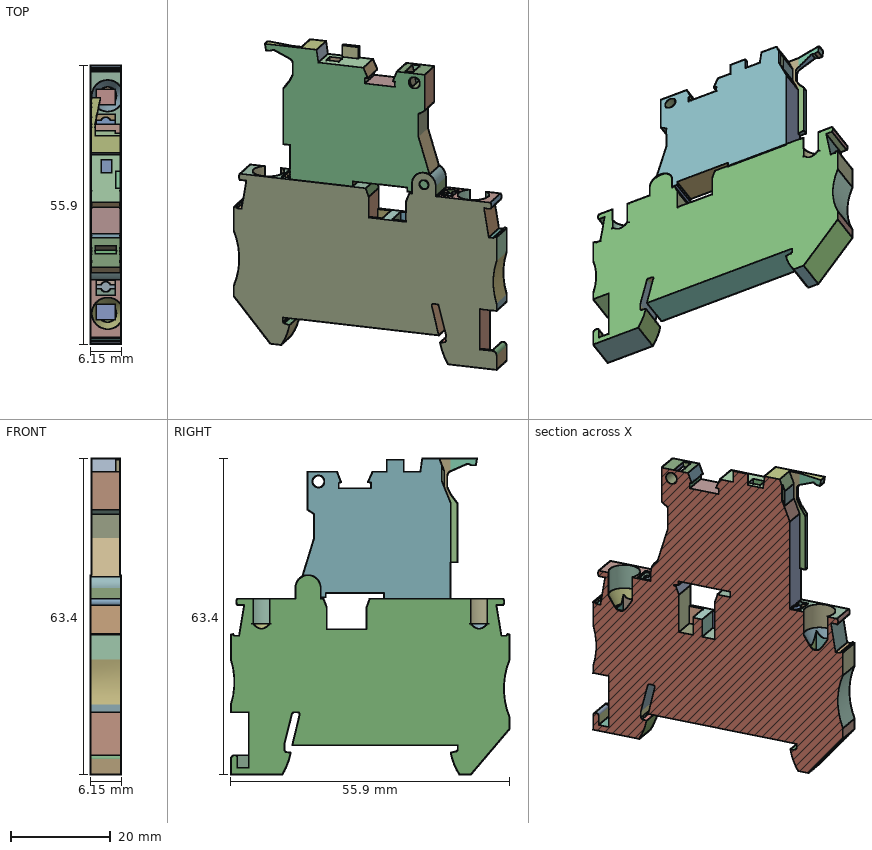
import cadquery as cq


housing_width = 6.15
lever_width = 5.8
side_gap = (housing_width - lever_width) / 2
half_length = 27.95
overall_height = 63.4

housing_top = 35.3
foot_top = 5.9
rail_lip = 4.45

lip_edge = 26.6
lip_nose = 26.9
lip_bottom = 34.0
lip_middle = (housing_top + lip_bottom) / 2
neck_top = 25.3
neck_bottom = 26.3
shoulder = 27.9
shoulder_edge = 28.1
shoulder_ridge_y = 27.5
shoulder_ridge = 28.2
shoulder_groove_y = 27.25

hollow_top = 23.1
spring_slot_top = 12.5
spring_slot_inner = -14.1
spring_slot_outer = -15.6
spring_slot_fillet = 0.4
release_top = spring_slot_top
release_floor = 3.9
release_wall = -24.4
release_bar_radius = 0.8
release_bar_y = release_bar_radius - half_length
release_bar_inner_radius = 0.5
release_pocket_depth = 2.55

window_floor = 29.15
window_wall_top = 33.55
window_back = -0.75
window_front = -8.7
window_rib_back = -3.5
window_rib_front = -5.6
window_pocket_depth = 3.8
pocket_wall = 0.65

hinge_y = -12.5
hinge_z = 37.45
hinge_radius = 2.55
pin_radius = 0.95

lever_top = 60.7
grip_top = overall_height
lever_hole_y = -10.4
lever_hole_z = 58.75
lever_hole_diameter = 2.35

grip_back_y = 13.8
ledge_y = 14.85
upper_slope_bottom = 60.85
ledge_z = 57.6
lever_back_y = 16.1
back_slope_bottom = 54.5
grip_root_x = -2.15
grip_tip_x = -1.1
grip_tip_y = 21.25
notch_x = 1.9
notch_y = 14.3

test_slot_length = 4.25
test_slot_back = -8.25
test_slot_floor_back = -9.1
test_slot_front = -9.8
test_slot_floor = 56.4
square_hole_x = 0.1
square_hole_y = 7.7
square_hole_length = 2.65
square_hole_width = 2.15
square_hole_depth = 2.4
tab_inner_x = 2.0
tab_back = 6.7
tab_front = 3.3
tab_top = 63.15

entry_y = 21.8
entry_x = 0.4
entry_radius = 3.2
entry_depth = 5.1
cone_depth = 2.85
cone_end_radius = 1.8
clamp_x = 3.75
clamp_y = 3.1
clamp_middle = 21.55
clamp_depth = 12.7

screw_y = 16.5
screw_window_x = 3.8
screw_window_inner = 15.15
screw_window_outer = 18.1
screw_window_depth = 0.4
screw_radius = 1.0
screw_slot = 0.8
screw_depth = 0.4


def box(x_range, y_range, z_range):
    """Axis-aligned block from its (low, high) limits."""
    (x0, x1), (y0, y1), (z0, z1) = x_range, y_range, z_range
    return cq.Workplane("XY").box(x1 - x0, y1 - y0, z1 - z0, centered=False).translate((x0, y0, z0))


def side_profile(x=0.0):
    """Sketch plane for the (Y, Z) outlines."""
    return cq.Workplane("YZ", origin=(x, 0, 0))


def housing_body():
    outline = (
        side_profile()
        .moveTo(-0.1, housing_top)
        .lineTo(lip_edge, housing_top)
        .threePointArc((lip_nose, lip_middle), (lip_edge, lip_bottom))
        .lineTo(neck_top, lip_bottom)
        .lineTo(neck_bottom, shoulder)
        .lineTo(shoulder_groove_y, shoulder)
        .lineTo(shoulder_ridge_y, shoulder_ridge)
        .lineTo(half_length, shoulder_edge)
        .lineTo(half_length, hollow_top)
        .threePointArc((26.8, 17.3), (half_length, 11.5))
        .lineTo(half_length, 9.2)
        .lineTo(20.15, 0)
        .lineTo(17.9, 0)
        .threePointArc((16.75, 2.2), (16.1, rail_lip))
        .lineTo(17.25, rail_lip + 0.25)
        .lineTo(17.5, rail_lip + 0.5)
        .lineTo(17.5, foot_top)
        .lineTo(-15.65, foot_top)
        .lineTo(spring_slot_inner, spring_slot_top)
        .lineTo(spring_slot_outer, spring_slot_top)
        .lineTo(-17.2, 6.2)
        .lineTo(-17.2, rail_lip + 0.45)
        .lineTo(-16.9, rail_lip + 0.1)
        .lineTo(-15.9, rail_lip)
        .threePointArc((-16.55, 2.2), (-17.6, 0))
        .lineTo(-half_length, 0)
        .lineTo(-half_length, release_floor - release_bar_radius)
        .radiusArc((release_bar_y, release_floor), release_bar_radius)
        .lineTo(release_wall, release_floor)
        .lineTo(release_wall, release_top)
        .lineTo(-half_length, release_top)
        .lineTo(-half_length, 14.1)
        .threePointArc((-27.25, 18.5), (-half_length, hollow_top))
        .lineTo(-half_length, shoulder_edge)
        .lineTo(-shoulder_ridge_y, shoulder_ridge)
        .lineTo(-shoulder_groove_y, shoulder)
        .lineTo(-neck_bottom, shoulder)
        .lineTo(-neck_top, lip_bottom)
        .lineTo(-lip_edge, lip_bottom)
        .threePointArc((-lip_nose, lip_middle), (-lip_edge, housing_top))
        .lineTo(hinge_y - hinge_radius, housing_top)
        .lineTo(hinge_y - hinge_radius, hinge_z)
        .threePointArc((hinge_y, hinge_z + hinge_radius), (hinge_y + hinge_radius, hinge_z))
        .lineTo(hinge_y + hinge_radius, housing_top)
        .lineTo(-9.4, housing_top)
        .lineTo(window_front, window_wall_top)
        .lineTo(window_front, window_floor)
        .lineTo(window_back, window_floor)
        .lineTo(window_back, window_wall_top)
        .close()
    )
    body = outline.extrude(housing_width / 2, both=True)
    slot_end = cq.selectors.BoxSelector(
        (-housing_width, spring_slot_outer - 0.05, spring_slot_top - 0.05),
        (housing_width, spring_slot_inner + 0.05, spring_slot_top + 0.05),
    )
    return body.edges("|X").edges(slot_end).fillet(spring_slot_fillet)


def window_pockets():
    """Two pockets in the window floor, parted by a cross rib and closed by thin side walls."""
    x_range = (pocket_wall - housing_width / 2, housing_width / 2 - pocket_wall)
    z_range = (window_floor - window_pocket_depth, window_floor)
    back = box(x_range, (window_rib_back, window_back), z_range)
    front = box(x_range, (window_front, window_rib_front), z_range)
    return back.union(front)


def release_pocket():
    """Pocket behind the rounded release bar, open on the +X side."""
    pocket_floor = release_floor - release_pocket_depth
    bar_inside = release_bar_y + release_bar_inner_radius
    section = (
        side_profile(pocket_wall - housing_width / 2)
        .moveTo(release_wall, release_floor)
        .lineTo(release_wall, pocket_floor)
        .lineTo(bar_inside, pocket_floor)
        .lineTo(bar_inside, release_floor - release_bar_inner_radius)
        .radiusArc((release_bar_y, release_floor), -release_bar_inner_radius)
        .close()
    )
    return section.extrude(housing_width - pocket_wall)


def lever_body():
    outline = (
        side_profile()
        .moveTo(21.4, grip_top)
        .lineTo(21.2, 62.0)
        .lineTo(20.3, 62.0)
        .lineTo(19.5, 62.3)
        .lineTo(15.9, 60.7)
        .threePointArc((15.6, 60.35), (15.45, 59.9))
        .lineTo(15.45, ledge_z)
        .lineTo(16.15, 56.15)
        .lineTo(17.5, 54.4)
        .lineTo(17.5, 42.55)
        .lineTo(lever_back_y, 42.55)
        .lineTo(lever_back_y, housing_top)
        .lineTo(2.7, housing_top)
        .lineTo(2.7, 36.4)
        .lineTo(-8.9, 36.4)
        .lineTo(-8.9, 35.55)
        .lineTo(-9.5, 35.55)
        .lineTo(hinge_y + hinge_radius, housing_top)
        .lineTo(hinge_y, hinge_z)
        .lineTo(-13.7, 39.55)
        .lineTo(-11.3, 47.4)
        .lineTo(-11.3, 52.25)
        .lineTo(-12.6, 53.1)
        .lineTo(-12.6, lever_top)
        .lineTo(-6.65, lever_top)
        .lineTo(-5.85, 58.65)
        .lineTo(-6.3, 58.45)
        .lineTo(-6.3, 57.4)
        .lineTo(0.1, 57.4)
        .lineTo(0.1, 58.5)
        .lineTo(-0.5, 58.65)
        .lineTo(0.45, lever_top)
        .lineTo(10.0, lever_top)
        .lineTo(10.4, grip_top)
        .close()
    )
    return outline.extrude(lever_width / 2, both=True)


def grip_clearance():
    """Space beside the thin grip plate, behind the sloped back of the lever."""
    back = [
        (grip_back_y, overall_height),
        (ledge_y, upper_slope_bottom),
        (ledge_y, ledge_z),
        (lever_back_y, back_slope_bottom),
        (lever_back_y, housing_top),
        (half_length, housing_top),
        (half_length, overall_height),
    ]
    plan = [
        (grip_root_x, grip_back_y),
        (grip_root_x, lever_back_y),
        (grip_tip_x, grip_tip_y),
        (grip_tip_x, half_length),
        (housing_width, half_length),
        (housing_width, grip_back_y),
    ]
    behind = side_profile(-lever_width).polyline(back).close().extrude(2 * lever_width)
    beside = cq.Workplane("XY").polyline(plan).close().extrude(overall_height)
    return behind.intersect(beside)


def ledge_notch():
    """Corner notch that carries the lower back slope of the lever further in."""
    slope = (ledge_z - back_slope_bottom) / (lever_back_y - ledge_y)
    section = [
        (notch_y, overall_height),
        (notch_y, ledge_z + slope * (ledge_y - notch_y)),
        (lever_back_y, back_slope_bottom),
        (lever_back_y, overall_height),
    ]
    return side_profile(notch_x).polyline(section).close().extrude(lever_width)


def test_slot():
    """Slot in the lever top with one sloped wall."""
    section = [
        (test_slot_back, lever_top),
        (test_slot_floor_back, test_slot_floor),
        (test_slot_front, test_slot_floor),
        (test_slot_front, lever_top),
    ]
    return side_profile(-test_slot_length / 2).polyline(section).close().extrude(test_slot_length)


def wire_entry(side):
    """Round wire funnel with a square clamp hole below it; side is +1 or -1 along Y."""
    y = side * entry_y
    bore = cq.Workplane("XY", origin=(entry_x, y, housing_top)).circle(entry_radius).extrude(-entry_depth)
    cone = (
        cq.Workplane("XY", origin=(entry_x, y, housing_top - entry_depth))
        .circle(entry_radius)
        .workplane(offset=-cone_depth)
        .circle(cone_end_radius)
        .loft()
    )
    clamp = (
        cq.Workplane("XY", origin=(0, side * clamp_middle, housing_top))
        .rect(clamp_x, clamp_y)
        .extrude(-clamp_depth)
    )
    return bore.union(cone).union(clamp)


def screw_window(side):
    """Recess showing a slotted screw; side is +1 or -1 along Y."""
    middle = (screw_window_inner + screw_window_outer) / 2
    length = screw_window_outer - screw_window_inner
    top = cq.Workplane("XY", origin=(0, 0, housing_top))
    frame = top.center(0, side * middle).rect(screw_window_x, length).extrude(-screw_window_depth)
    floor = cq.Workplane("XY", origin=(0, side * screw_y, housing_top))
    deep = -screw_window_depth - screw_depth
    slot = floor.rect(screw_window_x, screw_slot).extrude(deep)
    return frame.union(slot).union(floor.circle(screw_radius).extrude(deep))


def lever_hole():
    start = side_profile(-lever_width / 2).center(lever_hole_y, lever_hole_z)
    return start.circle(lever_hole_diameter / 2).extrude(lever_width)


def square_hole():
    start = cq.Workplane("XY", origin=(square_hole_x, square_hole_y, lever_top))
    return start.rect(square_hole_width, square_hole_length).extrude(-square_hole_depth)


def pin_recess():
    """Round hole through the hinge cheek down to the side of the lever."""
    start = side_profile(-housing_width / 2).center(hinge_y, hinge_z)
    return start.circle(pin_radius).extrude(side_gap)


lever = lever_body()
for cutter in (grip_clearance(), ledge_notch(), lever_hole(), square_hole(), test_slot()):
    lever = lever.cut(cutter)
top_tab = box((tab_inner_x, lever_width / 2), (tab_front, tab_back), (lever_top, tab_top))
lever = lever.union(top_tab)

housing = housing_body().cut(window_pockets()).cut(release_pocket()).cut(pin_recess())
for side in (1, -1):
    housing = housing.cut(wire_entry(side)).cut(screw_window(side))

result = housing.union(lever)